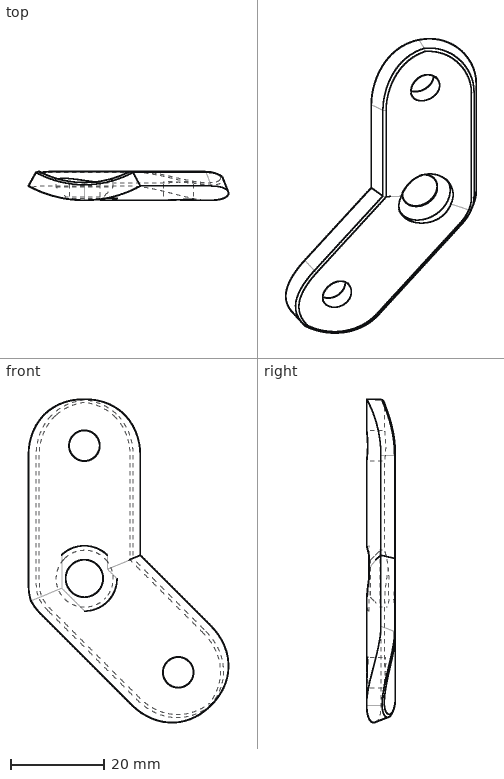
import cadquery as cq
import math

bend_angle = 45.0
outer_radius = 25.0
thickness = 3.8
half_width = 12.0
arm_length = 38.5
tip_radius = half_width
bend_corner_radius = 10.0
rim_chamfer = 0.5

hole_distance = 28.5
arm_hole_diameter = 6.5
hub_hole_diameter = 8.0
seat_diameter = 14.0
seat_depth = 0.5
countersink_diameter = 12.2
lip_thickness = 0.3

half_bend = bend_angle / 2
half_bend_radians = math.radians(half_bend)
edge_angle = math.degrees(math.asin(half_width / outer_radius))
reach = 2 * arm_length


def on_lower_arm(body):
    """Reflect a body of the upright arm across the mitre plane, onto the lower arm."""
    mitre_normal = cq.Vector(-math.sin(half_bend_radians), 0, math.cos(half_bend_radians))
    return body.mirror(mitre_normal)


def make_side_trim():
    """Block whose -X side is the radial wall of the arm, with the tip corner rounded."""
    block = (
        cq.Workplane("XY")
        .box(reach, reach, 2 * arm_length, centered=(False, True, True))
        .edges("<X and >Z")
        .fillet(tip_radius)
    )
    return (
        block
        .rotate((0, 0, 0), (0, 0, 1), -edge_angle)
        .translate((0, outer_radius, 0))
    )


def make_upright_arm():
    """Curved panel with radial side walls, mitred through the hub centre."""
    panel = (
        cq.Workplane("XY", origin=(0, outer_radius, -arm_length))
        .circle(outer_radius)
        .circle(outer_radius - thickness)
        .extrude(2 * arm_length)
    )
    left_trim = make_side_trim()
    right_trim = left_trim.mirror("YZ")
    above_mitre = (
        cq.Workplane("XY")
        .box(2 * reach, 2 * reach, reach, centered=(True, True, False))
        .rotate((0, 0, 0), (0, 1, 0), -half_bend)
    )
    return panel.intersect(left_trim).intersect(right_trim).intersect(above_mitre)


def round_bend_corner(body):
    """Round the edge where the outer side walls of the two arms meet."""
    corner_x = -half_width
    corner_z = corner_x * math.tan(half_bend_radians)
    corner_point = (corner_x, thickness, corner_z)
    return (
        body
        .edges(cq.selectors.NearestToPointSelector(corner_point))
        .fillet(bend_corner_radius)
    )


def chamfer_back_rim(body):
    """Chamfer every back edge except the mitre line shared by the two concave faces."""
    mid_arm = arm_length / 2
    bend = math.radians(bend_angle)
    points_behind_arms = [
        (0, reach, mid_arm),
        (mid_arm * math.sin(bend), reach, -mid_arm * math.cos(bend)),
    ]
    back_edges = []
    for point in points_behind_arms:
        concave_face = body.faces(cq.selectors.NearestToPointSelector(point))
        back_edges.extend(concave_face.edges().vals())
    rim_edges = [
        edge
        for edge in back_edges
        if sum(edge.isSame(other) for other in back_edges) == 1
    ]
    return body.newObject(rim_edges).chamfer(rim_chamfer)


def make_front_cutter(diameter, z, depth):
    """Cylinder along Y at the given height, from ahead of the front face to the given depth."""
    return (
        cq.Workplane("XZ", origin=(0, depth, z))
        .circle(diameter / 2)
        .extrude(2 * reach)
    )


def make_countersink():
    """Cone widening from the hub hole towards the back, continued by a cylinder."""
    small_radius = hub_hole_diameter / 2
    large_radius = countersink_diameter / 2
    cone_start = seat_depth + lip_thickness
    cone_end = cone_start + large_radius - small_radius
    return (
        cq.Workplane("XY")
        .moveTo(0, cone_start)
        .lineTo(small_radius, cone_start)
        .lineTo(large_radius, cone_end)
        .lineTo(large_radius, reach)
        .lineTo(0, reach)
        .close()
        .revolve(360, (0, 0, 0), (0, 1, 0))
    )


upright_arm = make_upright_arm()
bracket = upright_arm.union(on_lower_arm(upright_arm))
bracket = round_bend_corner(bracket)
bracket = chamfer_back_rim(bracket)

bracket = bracket.cut(make_front_cutter(seat_diameter, 0, seat_depth))
bracket = bracket.cut(make_front_cutter(hub_hole_diameter, 0, reach))
bracket = bracket.cut(make_countersink())

arm_hole = make_front_cutter(arm_hole_diameter, hole_distance, reach)
bracket = bracket.cut(arm_hole).cut(on_lower_arm(arm_hole))

result = bracket